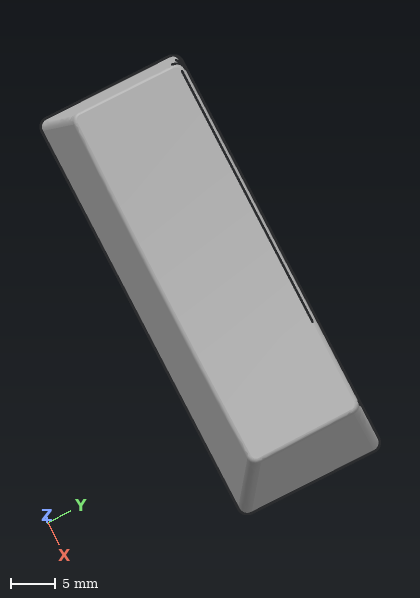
import cadquery as cq
import math

length = 51.3
width = 17.95
height = 12.05

end_inset = 3.1
front_inset = 2.85
back_inset = 1.15
corner_radius = 1.2

dish_sag = 0.55
top_slope = math.radians(2.2)
rim_fillet = 0.5

trim_allowance = 2.55
blank_height = height + trim_allowance

dish_overhang = width
dish_length = width + 2 * dish_overhang


def wall_outline(z):
    """Rectangular section of the leaning walls at height z."""
    rise = z / height
    section_length = length - 2 * end_inset * rise
    section_width = width - (front_inset + back_inset) * rise
    center_y = (front_inset - back_inset) * rise / 2
    section = cq.Workplane("XY", origin=(0, center_y, z)).rect(section_length, section_width)
    return section.wires().val()


def make_blank():
    """Tapered block with its four upright edges rounded."""
    block = cq.Solid.makeLoft([wall_outline(0), wall_outline(blank_height)], True)
    return cq.Workplane(block).edges("not(#Z)").fillet(corner_radius)


def make_dish():
    """Cylinder whose underside shapes the dished, forward-sloping top."""
    half_span = length / 2 - end_inset
    dish_radius = (half_span**2 + dish_sag**2) / (2 * dish_sag)
    forward = cq.Vector(0, -math.cos(top_slope), -math.sin(top_slope))
    upward = cq.Vector(0, -math.sin(top_slope), math.cos(top_slope))
    back_low_point = cq.Vector(0, width / 2 - back_inset, height - dish_sag)
    start = back_low_point + upward * dish_radius - forward * dish_overhang
    return cq.Workplane(cq.Solid.makeCylinder(dish_radius, dish_length, start, forward))


keycap = make_blank().cut(make_dish())
result = keycap.faces(">Z").edges().fillet(rim_fillet)